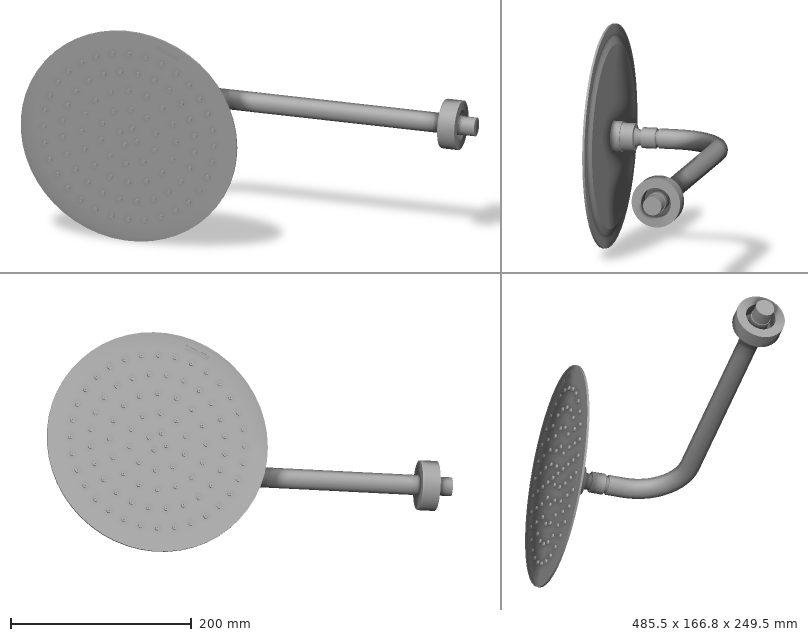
import cadquery as cq
import math


head_turn = -0.3
head_diameter = 249.5
face_y = 2.0
rim_back_y = 4.5
dome_foot_diameter = 223.5
dome_top_diameter = 206.0
dome_top_y = 8.0

nozzle_rings = [(4, 67.0), (10, 13.5), (16, 0.0), (24, 7.5), (32, 0.0)]
first_ring_radius = 10.5
last_ring_radius = 98.5
nozzle_diameter = 5.0
nozzle_bore_diameter = 1.0

label_length = 28.0
label_width = 6.0
label_depth = 0.5
label_radius = 112.5
label_angle = 67.2

collar_foot_diameter = 36.0
collar_foot_top_y = 9.0
collar_base_diameter = 34.0
collar_base_top_y = 18.0
collar_diameter = 31.0
collar_top_y = 32.5

stem_diameter = 18.0
stem_shank_diameter = 18.5
stem_shank_start_y = 40.0
stem_foot_diameter = 22.0
stem_cone_top_y = 37.0

nut_diameter = 23.5
nut_bottom_y = 41.0
nut_top_y = 57.5
nut_top_chamfer = 1.0
nut_bottom_bevel_height = 1.5
nut_bottom_bevel_depth = 0.25
nut_seat_y = 47.0

arm_diameter = 22.5
spigot_diameter = 20.5
spigot_relief_diameter = 19.0
arm_end_y = 60.0
arm_axis_y = 139.0
bend_radius = 59.5
stub_diameter = 21.0

overall_length = 485.5
flange_diameter = 55.5
flange_thickness = 20.0
flange_bevel_height = 1.5
flange_bevel_depth = 0.5
flange_recess_diameter = 34.0
flange_front_wall = 1.5
stub_length = 17.5

stub_end_x = overall_length - head_diameter / 2
flange_back_x = stub_end_x - stub_length
flange_front_x = flange_back_x - flange_thickness


def cylinder_y(diameter, start_y, end_y):
    """Solid cylinder on the Y axis."""
    return (
        cq.Workplane("XZ", origin=(0, start_y, 0))
        .circle(diameter / 2)
        .extrude(start_y - end_y)
    )


def cylinder_x(diameter, start_x, end_x):
    """Solid cylinder on the arm's axis, parallel to X."""
    return (
        cq.Workplane("YZ", origin=(start_x, arm_axis_y, 0))
        .circle(diameter / 2)
        .extrude(end_x - start_x)
    )


def revolve_y(profile):
    """Solid of revolution about the Y axis from (diameter, y) points; the axis closes it."""
    points = [(diameter / 2, y) for diameter, y in profile]
    outline = [(0, profile[0][1]), *points, (0, profile[-1][1])]
    return cq.Workplane("XY").polyline(outline).close().revolve(360, (0, 0, 0), (0, 1, 0))


def nozzle_positions():
    """(x, z) of every nozzle."""
    ring_spacing = (last_ring_radius - first_ring_radius) / (len(nozzle_rings) - 1)
    positions = []
    for ring, (count, first_angle) in enumerate(nozzle_rings):
        radius = first_ring_radius + ring * ring_spacing
        for i in range(count):
            angle = math.radians(first_angle + head_turn + i * 360 / count)
            positions.append((radius * math.cos(angle), radius * math.sin(angle)))
    return positions


def make_head():
    """Thin disc with a low dome behind, bored nozzles and a shallow label recess in front."""
    head = revolve_y([
        (head_diameter, face_y),
        (head_diameter, rim_back_y),
        (dome_foot_diameter, rim_back_y),
        (dome_top_diameter, dome_top_y),
    ])
    label = (
        cq.Workplane("XY")
        .box(label_length, 2 * label_depth, label_width)
        .translate((0, face_y, label_radius))
        .rotate((0, 0, 0), (0, 1, 0), 90 - label_angle - head_turn)
    )
    head = head.cut(label)

    nozzle = cylinder_y(nozzle_diameter, 0, face_y)
    nozzle = nozzle.cut(cylinder_y(nozzle_bore_diameter, 0, face_y)).val()
    nozzles = [nozzle.moved(cq.Location(cq.Vector(x, 0, z))) for x, z in nozzle_positions()]
    return cq.Workplane(head.val().fuse(*nozzles))


def make_collar():
    """Stepped collar with a slightly flared foot, standing on the back of the head."""
    return revolve_y([
        (collar_foot_diameter, dome_top_y),
        (collar_base_diameter, collar_foot_top_y),
        (collar_base_diameter, collar_base_top_y),
        (collar_diameter, collar_base_top_y),
        (collar_diameter, collar_top_y),
    ])


def make_stem():
    """Stem flaring to a conical foot on the collar, its thicker shank seated in the nut."""
    return revolve_y([
        (stem_foot_diameter, collar_top_y),
        (stem_diameter, stem_cone_top_y),
        (stem_diameter, stem_shank_start_y),
        (stem_shank_diameter, stem_shank_start_y),
        (stem_shank_diameter, nut_seat_y),
    ])


def make_nut():
    """Nut with bevelled edges, bored for the stem from below and for the arm's spigot from above."""
    nut = revolve_y([
        (nut_diameter - 2 * nut_bottom_bevel_depth, nut_bottom_y),
        (nut_diameter, nut_bottom_y + nut_bottom_bevel_height),
        (nut_diameter, nut_top_y - nut_top_chamfer),
        (nut_diameter - 2 * nut_top_chamfer, nut_top_y),
    ])
    nut = nut.cut(cylinder_y(stem_shank_diameter, nut_bottom_y, nut_seat_y))
    return nut.cut(cylinder_y(spigot_diameter, nut_seat_y, nut_top_y))


def make_arm():
    """Bent arm with a spigot, relieved above the nut, at one end and a narrower stub at the wall end."""
    bend_start_y = arm_axis_y - bend_radius
    bend_offset = bend_radius * math.sin(math.radians(45))
    path = (
        cq.Workplane("XY")
        .moveTo(0, arm_end_y)
        .lineTo(0, bend_start_y)
        .threePointArc(
            (bend_radius - bend_offset, bend_start_y + bend_offset),
            (bend_radius, arm_axis_y),
        )
        .lineTo(flange_back_x, arm_axis_y)
    )
    pipe = (
        cq.Workplane("XZ", origin=(0, arm_end_y, 0))
        .circle(arm_diameter / 2)
        .sweep(path)
    )
    spigot = revolve_y([
        (spigot_diameter, nut_seat_y),
        (spigot_diameter, nut_top_y),
        (spigot_relief_diameter, nut_top_y),
        (spigot_relief_diameter, arm_end_y),
    ])
    stub = cylinder_x(stub_diameter, flange_back_x, stub_end_x)
    return pipe.union(spigot).union(stub)


def make_flange():
    """Wall flange around the arm, with a bevelled front edge and a recess from the wall side."""
    flange = cylinder_x(flange_diameter, flange_front_x, flange_back_x)
    flange = flange.faces("<X").edges().chamfer(flange_bevel_height, flange_bevel_depth)
    recess_start_x = flange_front_x + flange_front_wall
    flange = flange.cut(cylinder_x(flange_recess_diameter, recess_start_x, flange_back_x))
    return flange.cut(cylinder_x(arm_diameter, flange_front_x, flange_back_x))


head = make_head()
collar = make_collar()
stem = make_stem()
nut = make_nut()
arm = make_arm()
flange = make_flange()

result = cq.Compound.makeCompound([
    head.val(),
    collar.val(),
    stem.val(),
    nut.val(),
    arm.val(),
    flange.val(),
])